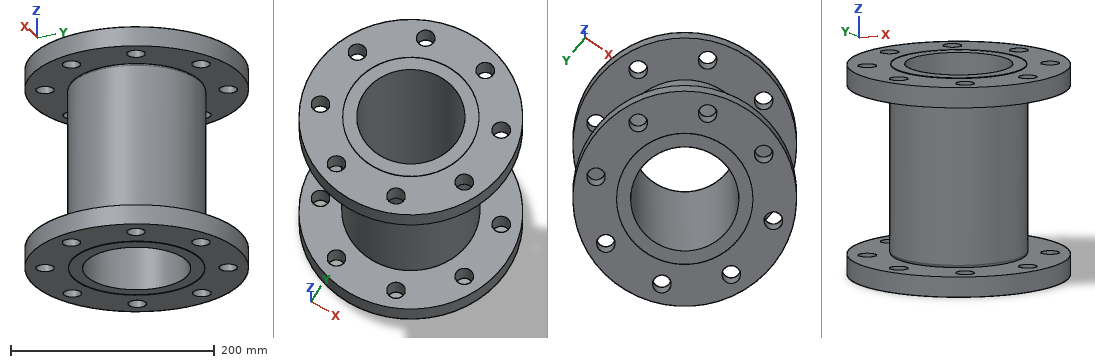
import cadquery as cq

height = 212.0

flange_diameter = 220.0
flange_thickness = 20.5
bore_diameter = 106.3

bolt_count = 8
bolt_circle_diameter = 180.0
bolt_hole_diameter = 18.0

contact_face_diameter = 134.0
contact_face_rise = 0.7

barrel_diameter = 136.0
barrel_end_radius = 2.9

flange_face_height = height - 2 * contact_face_rise
barrel_length = flange_face_height - 2 * flange_thickness


def disc(diameter, thickness, centre_z):
    return cq.Workplane("XY").cylinder(thickness, diameter / 2).translate((0, 0, centre_z))


def make_barrel():
    """Cylinder with rounded rims at both ends."""
    barrel = disc(barrel_diameter, barrel_length, 0)
    return barrel.faces("<Z or >Z").edges().fillet(barrel_end_radius)


def make_flange(side):
    """Flange plate at the top (side = 1) or the bottom (side = -1)."""
    plate_z = side * (flange_face_height - flange_thickness) / 2
    face_z = side * (height - contact_face_rise) / 2
    plate = disc(flange_diameter, flange_thickness, plate_z)
    return plate.union(disc(contact_face_diameter, contact_face_rise, face_z))


def make_bolt_holes():
    first_angle = 180 / bolt_count
    return (
        cq.Workplane("XY")
        .polarArray(bolt_circle_diameter / 2, first_angle, 360, bolt_count)
        .circle(bolt_hole_diameter / 2)
        .extrude(height / 2, both=True)
    )


bore = disc(bore_diameter, height, 0)

result = make_barrel().union(make_flange(1)).union(make_flange(-1))
result = result.cut(bore).cut(make_bolt_holes())